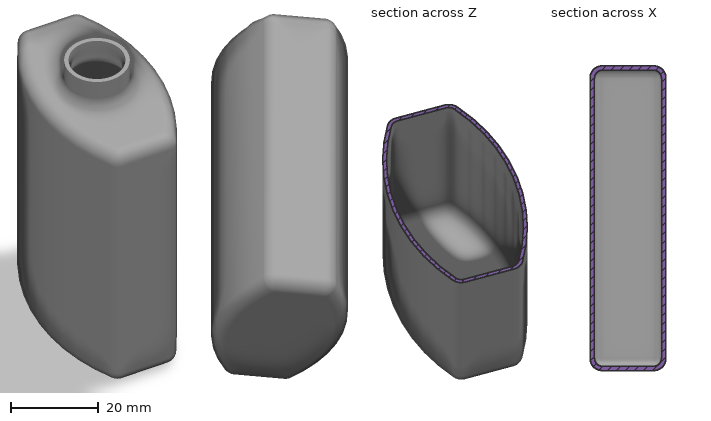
import cadquery as cq

width = 49.75
depth = 30.0
body_height = 70.0
side_depth = depth / 2
body_rounding = 3.0

neck_diameter = 15.0
neck_height = 7.0
neck_blend = 2.0

wall = 1.0


def make_body():
    """Upright block with two flat sides and bulging front and back, rounded on every edge."""
    half_width = width / 2
    half_side = side_depth / 2
    profile = (
        cq.Workplane("XY")
        .moveTo(-half_width, -half_side)
        .threePointArc((0, -depth / 2), (half_width, -half_side))
        .lineTo(half_width, half_side)
        .threePointArc((0, depth / 2), (-half_width, half_side))
        .close()
    )
    return profile.extrude(body_height).edges().fillet(body_rounding)


def add_neck(body):
    """Round neck on the shoulder, blended into it with a concave fillet."""
    neck = (
        cq.Workplane("XY")
        .workplane(offset=body_height)
        .circle(neck_diameter / 2)
        .extrude(neck_height)
    )
    bottle = body.union(neck)
    neck_root = cq.NearestToPointSelector((0, 0, body_height))
    return bottle.edges(neck_root).fillet(neck_blend)


def hollow_out(bottle):
    """Uniform wall everywhere, open at the mouth of the neck."""
    return bottle.faces(">Z").shell(-wall)


result = hollow_out(add_neck(make_body()))